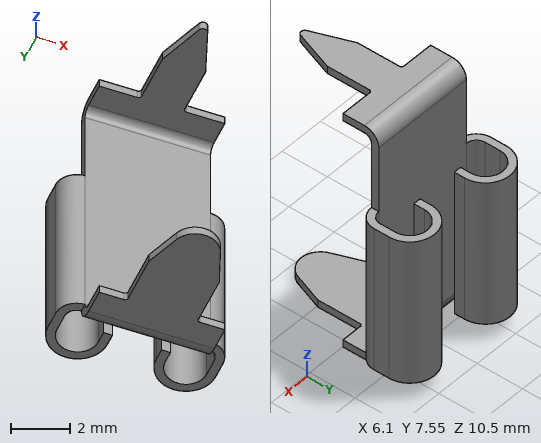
import cadquery as cq
import math

height = 10.48
width = 6.1
depth = 7.55
sheet = 0.32

flange_bend = 0.64
flange_reach = 1.26

curl_radius = 1.08
curl_lip = 0.46
wing_straight = 0.66
wing_bend = 0.77
wing_bottom = flange_bend
wing_height = 6.34

taper_start = 3.22
upper_tab_half_width = 0.79
lower_tab_half_width = 1.28
shoulder_fillet = 0.1
upper_tip_radius = 0.17
lower_tip_radius = 0.86

plate_width = width - 2 * wing_bend
curl_center_y = wing_bend + wing_straight
tip_y = curl_center_y + curl_radius - depth


def make_bracket():
    """C-shaped sheet: back plate with a rounded bend into each flange."""
    outer = (
        cq.Workplane("YZ")
        .rect(2 * (flange_reach + sheet), height)
        .extrude(plate_width / 2, both=True)
        .translate((0, -flange_reach, height / 2))
        .edges("|X and >Y")
        .fillet(flange_bend)
    )
    inner = (
        cq.Workplane("YZ")
        .rect(2 * (flange_reach + sheet), height - 2 * sheet)
        .extrude(plate_width / 2, both=True)
        .translate((0, -flange_reach - sheet, height / 2))
        .edges("|X and >Y")
        .fillet(flange_bend - sheet)
    )
    front_stock = (
        cq.Workplane("XY")
        .box(plate_width, depth, height, centered=(True, False, False))
        .translate((0, -flange_reach, 0))
    )
    return outer.cut(inner).intersect(front_stock)


def make_tab(half_width, tip_radius, bottom_z):
    """Tapered tab whose sides run tangent into a round tip."""
    center_y = tip_y + tip_radius
    axial = -taper_start - center_y
    center_distance = math.hypot(half_width, axial)
    tangent_angle = math.atan2(axial, half_width) - math.acos(tip_radius / center_distance)
    tangent_x = tip_radius * math.cos(tangent_angle)
    tangent_y = center_y + tip_radius * math.sin(tangent_angle)

    root_y = shoulder_fillet - flange_reach
    fillet_half_width = half_width + shoulder_fillet
    return (
        cq.Workplane("XY")
        .workplane(offset=bottom_z)
        .moveTo(-fillet_half_width, root_y)
        .lineTo(-fillet_half_width, -flange_reach)
        .radiusArc((-half_width, -flange_reach - shoulder_fillet), shoulder_fillet)
        .lineTo(-half_width, -taper_start)
        .lineTo(-tangent_x, tangent_y)
        .threePointArc((0, tip_y), (tangent_x, tangent_y))
        .lineTo(half_width, -taper_start)
        .lineTo(half_width, -flange_reach - shoulder_fillet)
        .radiusArc((fillet_half_width, -flange_reach), shoulder_fillet)
        .lineTo(fillet_half_width, root_y)
        .close()
        .extrude(sheet)
    )


def make_right_wing():
    """Side wing swept round a bend, a straight and a half-round curl."""
    plate_edge = plate_width / 2
    outer_x = width / 2
    inner_x = outer_x - sheet
    curl_center_x = outer_x - curl_radius
    curl_inner_radius = curl_radius - sheet
    lip_outer_x = curl_center_x - curl_radius
    lip_inner_x = lip_outer_x + sheet
    lip_y = curl_center_y - curl_lip
    bend_offset = wing_bend * math.sqrt(0.5)
    bend_inner_offset = (wing_bend - sheet) * math.sqrt(0.5)
    return (
        cq.Workplane("XY")
        .workplane(offset=wing_bottom)
        .moveTo(plate_edge, 0)
        .threePointArc((plate_edge + bend_offset, wing_bend - bend_offset), (outer_x, wing_bend))
        .lineTo(outer_x, curl_center_y)
        .threePointArc((curl_center_x, curl_center_y + curl_radius), (lip_outer_x, curl_center_y))
        .lineTo(lip_outer_x, lip_y)
        .lineTo(lip_inner_x, lip_y)
        .lineTo(lip_inner_x, curl_center_y)
        .threePointArc((curl_center_x, curl_center_y + curl_inner_radius), (inner_x, curl_center_y))
        .lineTo(inner_x, wing_bend)
        .threePointArc(
            (plate_edge + bend_inner_offset, wing_bend - bend_inner_offset), (plate_edge, sheet)
        )
        .close()
        .extrude(wing_height)
    )


right_wing = make_right_wing()
left_wing = right_wing.mirror("YZ")
upper_tab = make_tab(upper_tab_half_width, upper_tip_radius, height - sheet)
lower_tab = make_tab(lower_tab_half_width, lower_tip_radius, 0)

result = make_bracket()
for feature in (right_wing, left_wing, upper_tab, lower_tab):
    result = result.union(feature)